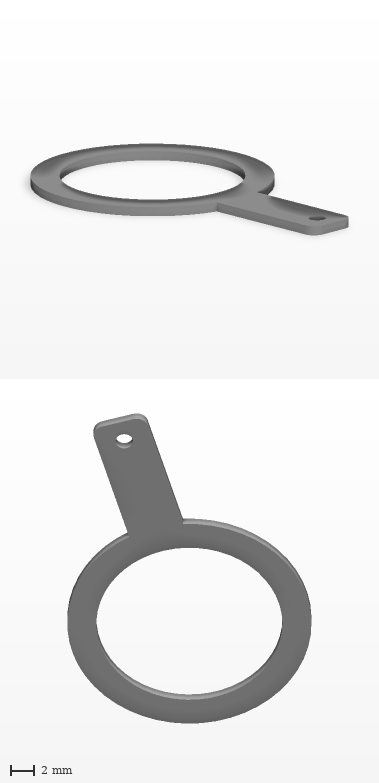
import cadquery as cq

overall_length = 32.5
ring_outer_diameter = 21.0
ring_inner_diameter = 16.0
thickness = 0.8
tab_width = 4.8
tab_corner_radius = 1.0
tab_hole_diameter = 1.5
tab_hole_to_end = 2.0

tab_end_x = overall_length - ring_outer_diameter / 2
tab_hole_x = tab_end_x - tab_hole_to_end


def make_disc(diameter, center_x=0):
    """Disc of the part's thickness, centred on the X axis."""
    return cq.Workplane("XY").center(center_x, 0).circle(diameter / 2).extrude(thickness)


def make_tab():
    """Flat tab from the ring centre outward, with its two outer corners rounded."""
    tab = cq.Workplane("XY").box(tab_end_x, tab_width, thickness, centered=(False, True, False))
    return tab.edges("|Z and >X").fillet(tab_corner_radius)


body = make_disc(ring_outer_diameter).union(make_tab())
ring_opening = make_disc(ring_inner_diameter)
tab_hole = make_disc(tab_hole_diameter, tab_hole_x)

result = body.cut(ring_opening).cut(tab_hole)